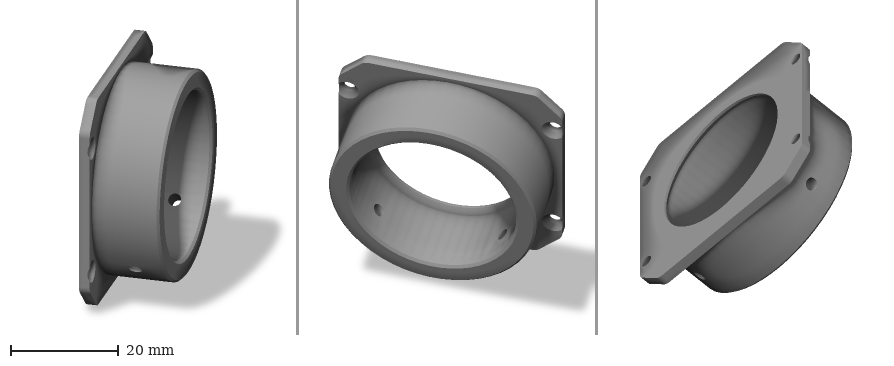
import cadquery as cq
import math

flange_width = 43.0
flange_height = 42.0
flange_thickness = 2.05
corner_cut = 5.0
corner_radius = 2.0

total_length = 15.0
tube_diameter = 40.0
tube_bore_diameter = 32.1
rim_chamfer = 0.47

lip_diameter = 30.0
lip_thickness = 0.5

mount_hole_diameter = 2.4
countersink_diameter = 4.4
mount_spacing_y = 39.55
mount_spacing_z = 25.03

radial_hole_diameter = 2.45
radial_hole_x = 9.0
radial_hole_angles = (222, 318)


def make_flange():
    plate = cq.Workplane("YZ").rect(flange_width, flange_height).extrude(flange_thickness)
    plate = plate.edges("|X").chamfer(corner_cut)
    return plate.edges("|X").fillet(corner_radius)


def make_tube():
    return cq.Workplane("YZ").circle(tube_diameter / 2).extrude(total_length)


def make_bore():
    """Cutter for the lip opening, a 45 degree taper behind it, and the main bore."""
    lip_radius = lip_diameter / 2
    bore_radius = tube_bore_diameter / 2
    taper_end = lip_thickness + bore_radius - lip_radius
    return (
        cq.Workplane("XY")
        .moveTo(0, 0)
        .lineTo(0, lip_radius)
        .lineTo(lip_thickness, lip_radius)
        .lineTo(taper_end, bore_radius)
        .lineTo(total_length, bore_radius)
        .lineTo(total_length, 0)
        .close()
        .revolve(360, (0, 0, 0), (1, 0, 0))
    )


def make_mount_hole():
    """Cutter on the X axis: a through hole with a 90 degree countersink at the tube side."""
    hole_radius = mount_hole_diameter / 2
    sink_radius = countersink_diameter / 2
    sink_depth = sink_radius - hole_radius
    return (
        cq.Workplane("XY")
        .moveTo(0, 0)
        .lineTo(0, hole_radius)
        .lineTo(flange_thickness - sink_depth, hole_radius)
        .lineTo(flange_thickness, sink_radius)
        .lineTo(flange_thickness, 0)
        .close()
        .revolve(360, (0, 0, 0), (1, 0, 0))
    )


def make_radial_hole(angle):
    """Cutter running outward from the tube axis at the given angle."""
    direction = (0, math.cos(math.radians(angle)), math.sin(math.radians(angle)))
    plane = cq.Plane(origin=(radial_hole_x, 0, 0), xDir=(1, 0, 0), normal=direction)
    return cq.Workplane(plane).circle(radial_hole_diameter / 2).extrude(tube_diameter)


result = make_flange().union(make_tube()).cut(make_bore())
result = result.faces(">X").edges().chamfer(rim_chamfer)

for side_y in (-1, 1):
    for side_z in (-1, 1):
        hole_centre = (0, side_y * mount_spacing_y / 2, side_z * mount_spacing_z / 2)
        result = result.cut(make_mount_hole().translate(hole_centre))

for hole_angle in radial_hole_angles:
    result = result.cut(make_radial_hole(hole_angle))